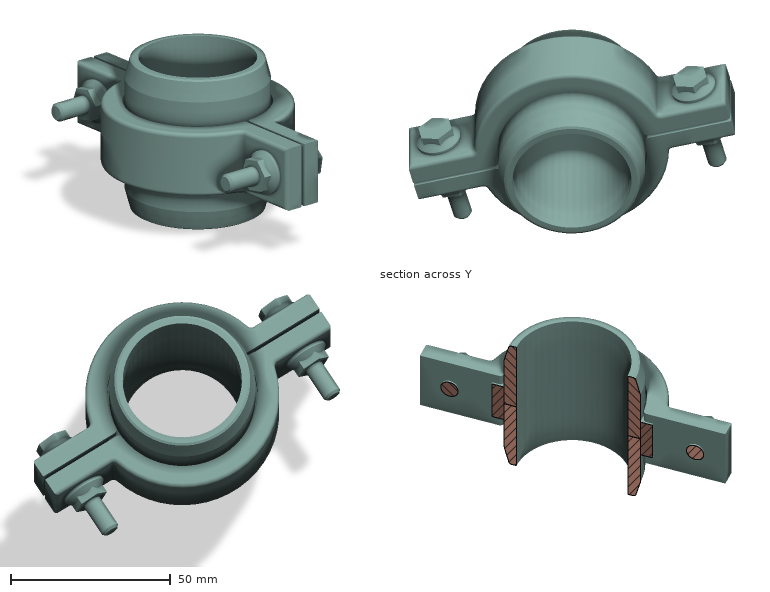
import cadquery as cq
import math

PIPE_LENGTH = 25.0
PIPE_OUTER_RADIUS = 23.0
PIPE_BORE_RADIUS = 18.7
TAPER_LENGTH = 6.3
TAPER_ANGLE = 15
RIM_CHAMFER_HEIGHT = 0.4
RIM_CHAMFER_WIDTH = 0.7

OVERALL_WIDTH = 102.5
HOUSING_HEIGHT = 20.8
HOUSING_OUTER_DIAMETER = 60.8
HOUSING_OUTER_RADIUS = HOUSING_OUTER_DIAMETER / 2
LIP_CLEARANCE = 0.6
GAP = 1.1
EAR_THICKNESS = 6.3
EAR_ROOT_FILLET = 1.5
OUTER_EDGE_FILLET = 1.2
LIP_CORNER_FILLET = 1.2
LIP_RADIUS = PIPE_OUTER_RADIUS + LIP_CLEARANCE
HALF_GAP = GAP / 2
EAR_FACE_Y = HALF_GAP + EAR_THICKNESS

GASKET_HEIGHT = 13.9
GASKET_OUTER_RADIUS = 27.1

BOLT_SPACING = 82.4
SHANK_RADIUS = 3.0
SHANK_END_Y = -23.4
SHANK_TIP_LENGTH = 0.8
SHANK_TIP_INSET = 0.7
HEX_ACROSS_FLATS = 9.9
HEX_HEIGHT = 5.1
FLANGE_RADIUS = 7.1
FLANGE_RIM_HEIGHT = 1.0
FLANGE_HEIGHT = 3.1
FLANGE_TOP_RADIUS = 4.9
HEAD_TURN = 20
NUT_TURN = 10

SIDES = (-1, 1)
BOLT_X = [side * BOLT_SPACING / 2 for side in SIDES]


def make_pipe(side):
    """Pipe above (side = 1) or below (side = -1) the joint, with a tapered free end and chamfered rim."""
    taper_top = PIPE_LENGTH - RIM_CHAMFER_HEIGHT
    taper_top_radius = PIPE_OUTER_RADIUS - TAPER_LENGTH * math.tan(math.radians(TAPER_ANGLE))
    pipe = (
        cq.Workplane("XZ")
        .moveTo(PIPE_BORE_RADIUS, 0)
        .lineTo(PIPE_OUTER_RADIUS, 0)
        .lineTo(PIPE_OUTER_RADIUS, taper_top - TAPER_LENGTH)
        .lineTo(taper_top_radius, taper_top)
        .lineTo(taper_top_radius - RIM_CHAMFER_WIDTH, PIPE_LENGTH)
        .lineTo(PIPE_BORE_RADIUS, PIPE_LENGTH)
        .close()
        .revolve(360, (0, 0), (0, 1))
    )
    return pipe if side > 0 else pipe.mirror("XY")


def centred_cylinder(radius, height):
    return cq.Workplane("XY").circle(radius).extrude(height / 2, both=True)


def make_gasket():
    return centred_cylinder(GASKET_OUTER_RADIUS, GASKET_HEIGHT).cut(
        centred_cylinder(PIPE_OUTER_RADIUS, GASKET_HEIGHT)
    )


def make_housing_half(side):
    """Half ring with two ears on the +Y (side = 1) or -Y (side = -1) side of the gap."""
    half_width = OVERALL_WIDTH / 2
    half_height = HOUSING_HEIGHT / 2
    root_x = math.sqrt(HOUSING_OUTER_RADIUS**2 - EAR_FACE_Y**2)
    half = (
        cq.Workplane("XY")
        .workplane(offset=-half_height)
        .moveTo(-half_width, HALF_GAP)
        .lineTo(half_width, HALF_GAP)
        .lineTo(half_width, EAR_FACE_Y)
        .lineTo(root_x, EAR_FACE_Y)
        .threePointArc((0, HOUSING_OUTER_RADIUS), (-root_x, EAR_FACE_Y))
        .lineTo(-half_width, EAR_FACE_Y)
        .close()
        .extrude(HOUSING_HEIGHT)
    )

    for x in (-root_x, root_x):
        root = cq.selectors.NearestToPointSelector((x, EAR_FACE_Y, 0))
        half = half.edges("|Z").edges(root).fillet(EAR_ROOT_FILLET)

    outside_of_gap = cq.selectors.BoxSelector(
        (-OVERALL_WIDTH, HALF_GAP + OUTER_EDGE_FILLET, -HOUSING_HEIGHT),
        (OVERALL_WIDTH, OVERALL_WIDTH, HOUSING_HEIGHT),
    )
    outer_rims = half.faces("<Z or >Z").edges(outside_of_gap).edges("not(<X or >X)")
    ear_ends = half.edges("|Z and (<X or >X)").edges(">Y")
    half = half.newObject(outer_rims.vals() + ear_ends.vals()).fillet(OUTER_EDGE_FILLET)

    half = half.cut(centred_cylinder(LIP_RADIUS, HOUSING_HEIGHT))
    corner_x = math.sqrt(LIP_RADIUS**2 - HALF_GAP**2)
    for x in (-corner_x, corner_x):
        corner = cq.selectors.NearestToPointSelector((x, HALF_GAP, 0))
        half = half.edges("|Z").edges(corner).fillet(LIP_CORNER_FILLET)

    half = half.cut(centred_cylinder(GASKET_OUTER_RADIUS, GASKET_HEIGHT))

    bolt_holes = (
        cq.Workplane("XZ")
        .pushPoints([(x, 0) for x in BOLT_X])
        .circle(SHANK_RADIUS)
        .extrude(-HOUSING_OUTER_RADIUS)
    )
    half = half.cut(bolt_holes)
    return half if side > 0 else half.mirror("XZ")


def make_flanged_hexagon(turn):
    """Hexagon with a conical flange, standing on Y = 0 and rising along +Y."""
    hexagon = (
        cq.Workplane("XZ")
        .polygon(6, HEX_ACROSS_FLATS / math.cos(math.radians(30)))
        .extrude(-HEX_HEIGHT)
        .rotate((0, 0, 0), (0, 1, 0), -turn)
    )
    flange = (
        cq.Workplane("XY")
        .lineTo(FLANGE_RADIUS, 0)
        .lineTo(FLANGE_RADIUS, FLANGE_RIM_HEIGHT)
        .lineTo(FLANGE_TOP_RADIUS, FLANGE_HEIGHT)
        .lineTo(0, FLANGE_HEIGHT)
        .close()
        .revolve(360, (0, 0), (0, 1))
    )
    return hexagon.union(flange)


def make_bolt(x):
    head = make_flanged_hexagon(HEAD_TURN).translate((0, EAR_FACE_Y, 0))
    tip_radius = SHANK_RADIUS - SHANK_TIP_INSET
    shank = (
        cq.Workplane("XY")
        .moveTo(0, EAR_FACE_Y)
        .lineTo(SHANK_RADIUS, EAR_FACE_Y)
        .lineTo(SHANK_RADIUS, SHANK_END_Y + SHANK_TIP_LENGTH)
        .lineTo(tip_radius, SHANK_END_Y)
        .lineTo(0, SHANK_END_Y)
        .close()
        .revolve(360, (0, 0), (0, 1))
    )
    return head.union(shank).translate((x, 0, 0))


def make_nut(x):
    bore = cq.Workplane("XZ").circle(SHANK_RADIUS).extrude(-HEX_HEIGHT)
    nut = make_flanged_hexagon(NUT_TURN).cut(bore).mirror("XZ")
    return nut.translate((x, -EAR_FACE_Y, 0))


pipes = [make_pipe(side) for side in SIDES]
gasket = make_gasket()
housing_halves = [make_housing_half(side) for side in SIDES]
bolts = [make_bolt(x) for x in BOLT_X]
nuts = [make_nut(x) for x in BOLT_X]

bodies = [*pipes, gasket, *housing_halves, *bolts, *nuts]
result = cq.Compound.makeCompound([body.val() for body in bodies])